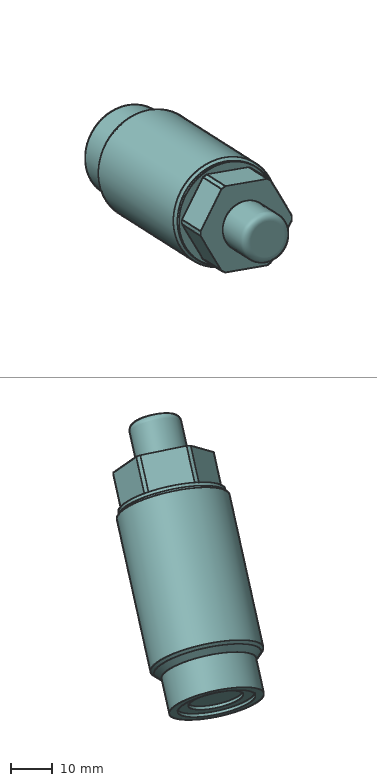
import cadquery as cq

TOTAL_LENGTH = 72.25
NECK_LENGTH = 8.95
BARREL_END = 51.7
HEX_END = 61.3

NECK_RADIUS = 11.6
BARREL_RADIUS = 13.15
SHOULDER_LENGTH = BARREL_RADIUS - NECK_RADIUS
STUB_RADIUS = 6.35
STUB_FILLET = 1.7

HEX_ACROSS_FLATS = 22.0
HEX_CORNER_RADIUS = 12.35

RECESS_RADIUS = 9.55
INNER_RECESS_RADIUS = 6.7
RECESS_STEP = 0.9

SLEEVE_RADIUS = 13.9
SLEEVE_CHAMFER = SLEEVE_RADIUS - BARREL_RADIUS
SLEEVE_START = NECK_LENGTH + SHOULDER_LENGTH
SLEEVE_END = 50.8


def cylinder(radius, start, end):
    """Solid cylinder on the X axis between two stations."""
    return cq.Workplane("YZ", origin=(start, 0, 0)).circle(radius).extrude(end - start)


def make_hexagon():
    corner_to_corner = HEX_ACROSS_FLATS / (3 ** 0.5 / 2)
    hexagon = (
        cq.Workplane("YZ", origin=(BARREL_END, 0, 0))
        .polygon(6, corner_to_corner)
        .extrude(HEX_END - BARREL_END)
    )
    return hexagon.intersect(cylinder(HEX_CORNER_RADIUS, BARREL_END, HEX_END))


def make_core():
    barrel = (
        cq.Workplane("XY")
        .moveTo(0, 0)
        .lineTo(0, NECK_RADIUS)
        .lineTo(NECK_LENGTH, NECK_RADIUS)
        .lineTo(SLEEVE_START, BARREL_RADIUS)
        .lineTo(BARREL_END, BARREL_RADIUS)
        .lineTo(BARREL_END, 0)
        .close()
        .revolve(360, (0, 0, 0), (1, 0, 0))
    )
    stub = cylinder(STUB_RADIUS, HEX_END, TOTAL_LENGTH).faces(">X").edges().fillet(STUB_FILLET)
    recess = cylinder(RECESS_RADIUS, 0, RECESS_STEP)
    inner_recess = cylinder(INNER_RECESS_RADIUS, RECESS_STEP, 2 * RECESS_STEP)
    return barrel.union(make_hexagon()).union(stub).cut(recess).cut(inner_recess)


def make_sleeve():
    return (
        cq.Workplane("XY")
        .moveTo(SLEEVE_START, BARREL_RADIUS)
        .lineTo(SLEEVE_START + SLEEVE_CHAMFER, SLEEVE_RADIUS)
        .lineTo(SLEEVE_END - SLEEVE_CHAMFER, SLEEVE_RADIUS)
        .lineTo(SLEEVE_END, BARREL_RADIUS)
        .close()
        .revolve(360, (0, 0, 0), (1, 0, 0))
    )


core = make_core()
sleeve = make_sleeve()
result = cq.Compound.makeCompound([core.val(), sleeve.val()])